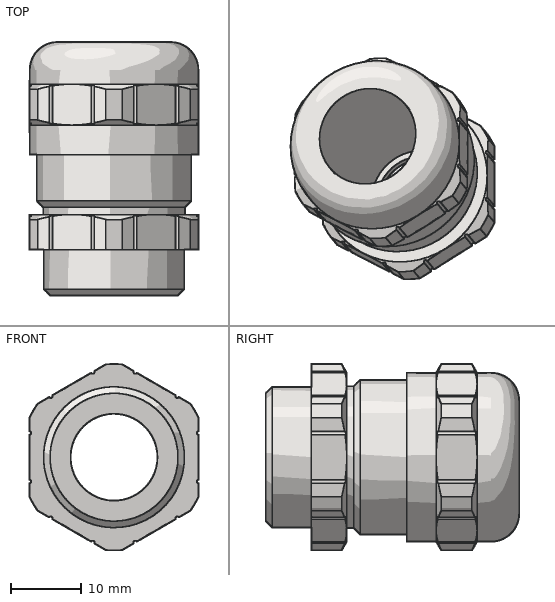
import cadquery as cq
import math


total_length = 36.0
thread_length = 6.5
lower_hex_length = 5.0
neck_length = 1.0
cap_start = 20.0
cap_hex_start = 24.2
cap_hex_end = 30.0

thread_diameter = 20.0
body_diameter = 22.0
cap_diameter = 24.0
thread_depth = 0.92
neck_diameter = body_diameter - 2 * thread_depth
dome_radius = 4.0

entry_diameter = 12.3
entry_length = 1.5
bore_diameter = 14.0

across_flats = 24.0
corner_diameter = 26.49
bevel_angle = 30.0
flat_count = 6
full_turn = 360

groove_offset = 3.44
groove_radius = 0.25

lower_hex_end = thread_length + lower_hex_length
neck_end = lower_hex_end + neck_length


def revolve_about_y(outline):
    return outline.close().revolve(full_turn, (0, 0, 0), (0, 1, 0))


def y_cylinder(diameter, start, length):
    return cq.Workplane("XZ", origin=(0, start, 0)).circle(diameter / 2).extrude(-length)


def make_body():
    """Turned outline from the thread tip to the domed cap."""
    thread_r = thread_diameter / 2
    neck_r = neck_diameter / 2
    body_r = body_diameter / 2
    cap_r = cap_diameter / 2
    dome_start = total_length - dome_radius
    dome_centre_r = cap_r - dome_radius
    dome_diagonal = dome_radius * math.sqrt(0.5)
    outline = (
        cq.Workplane("XY")
        .lineTo(thread_r - thread_depth, 0)
        .lineTo(thread_r, thread_depth)
        .lineTo(thread_r, lower_hex_end)
        .lineTo(neck_r, lower_hex_end)
        .lineTo(neck_r, neck_end)
        .lineTo(body_r, neck_end + thread_depth)
        .lineTo(body_r, cap_start)
        .lineTo(cap_r, cap_start)
        .lineTo(cap_r, dome_start)
        .threePointArc(
            (dome_centre_r + dome_diagonal, dome_start + dome_diagonal),
            (dome_centre_r, total_length),
        )
        .lineTo(0, total_length)
    )
    return revolve_about_y(outline)


def make_corner_envelope(start, end, bevel_at_start):
    """Turned blank that rounds the hexagon corners and bevels its ends."""
    corner_r = corner_diameter / 2
    face_r = across_flats / 2
    bevel_length = (corner_r - face_r) * math.tan(math.radians(bevel_angle))
    outline = cq.Workplane("XY").moveTo(0, start)
    if bevel_at_start:
        outline = outline.lineTo(face_r, start).lineTo(corner_r, start + bevel_length)
    else:
        outline = outline.lineTo(corner_r, start)
    outline = outline.lineTo(corner_r, end - bevel_length).lineTo(face_r, end).lineTo(0, end)
    return revolve_about_y(outline)


def make_hex(start, end, bevel_at_start):
    """Hexagon with corners at +Z and -Z and grip grooves along its flats."""
    length = end - start
    corner_to_corner = across_flats / math.cos(math.pi / flat_count)
    corner_turn = 90
    face = cq.Workplane("XZ", origin=(0, start, 0))
    prism = face.transformed(rotate=(0, 0, corner_turn)).polygon(flat_count, corner_to_corner).extrude(-length)
    hexagon = prism.intersect(make_corner_envelope(start, end, bevel_at_start))
    groove_pair = (
        face.pushPoints([(across_flats / 2, -groove_offset), (across_flats / 2, groove_offset)])
        .circle(groove_radius)
        .extrude(-length)
    )
    for index in range(flat_count):
        turn = index * full_turn / flat_count
        hexagon = hexagon.cut(groove_pair.rotate((0, 0, 0), (0, 1, 0), turn))
    return hexagon


def make_bore():
    """Narrow entry at the thread tip opening into a wider bore through the cap."""
    entry = y_cylinder(entry_diameter, 0, entry_length)
    bore = y_cylinder(bore_diameter, entry_length, total_length - entry_length)
    return entry.union(bore)


lower_hex = make_hex(thread_length, lower_hex_end, bevel_at_start=False)
cap_hex = make_hex(cap_hex_start, cap_hex_end, bevel_at_start=True)
result = make_body().union(lower_hex).union(cap_hex).cut(make_bore())